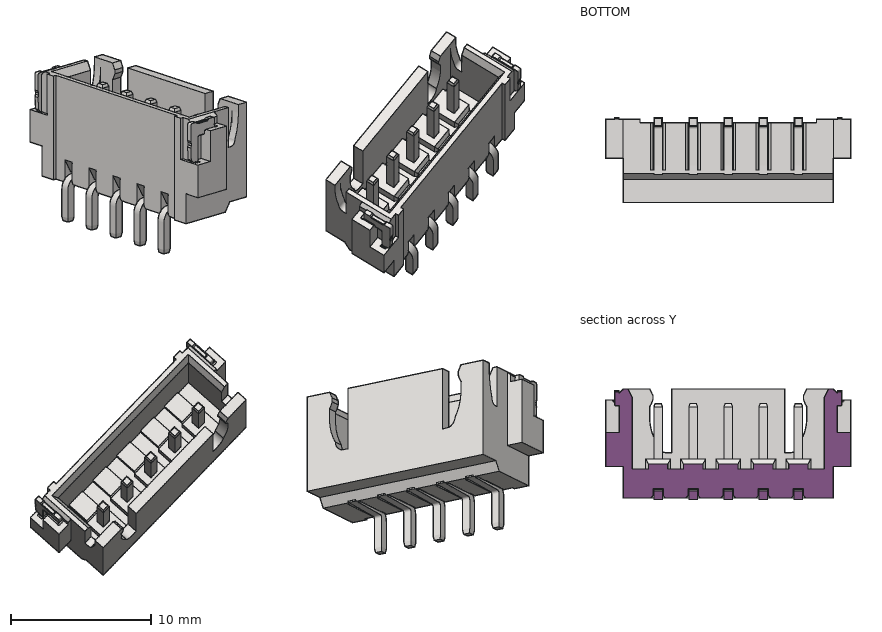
import cadquery as cq
import math


body_height = 7.8
body_depth = 5.95
body_half = 7.5
panel_y = 0.25
strip_inner_x = 6.3
heel_rise = 0.68
heel_top_y = 4.3
heel_bottom_y = 3.87

cavity_half = 6.85
cavity_front_y = 0.95
cavity_back_y = 5.15
floor_z = 2.1
lead_in = 0.32
lead_in_depth = 0.63

wing_half = 8.75
wing_depth = 2.8
wing_bottom_z = 2.25
wing_top_z = 7.02
notch_z = 4.7
notch_depth = 1.22
corner_inner_x = 6.95
guide_half = 7.79
guide_chamfer = 0.28

tab_thickness = 0.33
tab_outer_x = guide_half + tab_thickness
tab_front_y = -0.1
tab_back_y = 2.2
tab_top_z = body_height - 0.12
tab_arch_z = body_height - 1.2
tab_leg_y = 0.66
tab_leg_corner = 0.23
tab_front_radius = 0.15
tab_back_radius = 0.1
tab_arch_radius = 0.1
dip_z = tab_top_z - 0.09
dip_back_y = 1.58
dip_front_y = 0.5
dip_run = 0.1
barb_step = 0.05
barb_notch_z = 6.1
barb_notch_half = 0.09
barb_ramp = 0.15
tab_edge_chamfer = 0.05
slot_lead_in = 0.15

pin_count = 5
pitch = 2.5
pin_size = 0.63
pin_y = 3.62
tail_front = tab_front_y
pin_top_z = body_height - 1.05
tail_bottom_z = -2.8
tail_tip_height = 0.32
pin_tip_height = 0.23
tip_inset = 0.09
tail_tip_inset = 0.061
foot_drop = 0.1
inner_bend_radius = 0.21
outer_bend_radius = 0.95

channel_width = 0.72
channel_height = 0.66
channel_flare = 0.18
mouth_height = 1.68
mouth_depth = 0.56

support_width = 1.78
support_front_y = 2.87
support_height = 0.7
rib_height = 0.35
support_chamfer = 0.2

side_slot_front_y = 4.16
side_slot_depth = 3.0
side_slot_flat_y = 4.34
side_slot_round = 0.12
side_slot_bend_y = 4.8
side_slot_bend_rise = 0.42
side_slot_straight = 0.63
latch_inner_x = 4.05
latch_outer_x = 5.6
latch_bottom_x = 4.4
latch_slot_depth = 4.55
latch_bulge = 0.23
hook_start_depth = 0.47
hook_flat_depth = 0.77
hook_mid_depth = 0.98
hook_end_depth = 1.26
latch_neck_depth = 2.22
latch_bend_x = 5.11
latch_bend_rise = 0.7
latch_upper_mid_x = 5.46
latch_upper_mid_rise = 1.5
latch_lower_mid_x = 4.9
latch_lower_mid_rise = 0.21

pin_positions = [(i - (pin_count - 1) / 2) * pitch for i in range(pin_count)]


def box(x0, x1, y0, y1, z0, z1):
    return cq.Workplane("XY").box(x1 - x0, y1 - y0, z1 - z0, centered=False).translate((x0, y0, z0))


def side_profile(x_start):
    """Sketch plane whose axes are Y and Z, extruding towards +X."""
    return cq.Workplane("YZ", origin=(x_start, 0, 0))


def frustum(x, y, z, size, height, inset):
    """Square pin end that narrows by inset on every side; a negative height points down."""
    end_size = size - 2 * inset
    return (
        cq.Workplane("XY", origin=(x, y, z)).rect(size, size)
        .workplane(offset=height).rect(end_size, end_size).loft(ruled=True)
    )


def both_sides(solid):
    return solid.union(solid.mirror("YZ"))


def make_shell():
    outline = [
        (panel_y, 0), (heel_bottom_y, 0), (heel_top_y, heel_rise), (body_depth, heel_rise),
        (body_depth, body_height), (panel_y, body_height),
    ]
    shell = side_profile(-body_half).polyline(outline).close().extrude(2 * body_half)
    return shell.union(both_sides(make_wing()))


def make_wing():
    """Corner strip, wing and tab guide of the +X side."""
    wing = box(strip_inner_x, body_half, 0, panel_y, 0, body_height)
    wing = wing.union(box(cavity_half, wing_half, 0, wing_depth, wing_bottom_z, wing_top_z))
    wing = wing.cut(box(guide_half, wing_half, 0, notch_depth, notch_z, wing_top_z))
    guide_outline = [
        (cavity_half, notch_z), (guide_half, notch_z), (guide_half, body_height - guide_chamfer),
        (guide_half - guide_chamfer, body_height), (cavity_half, body_height),
    ]
    guide = (
        cq.Workplane("XZ", origin=(0, panel_y, 0)).polyline(guide_outline).close()
        .extrude(panel_y - wing_depth)
    )
    wing = wing.union(guide)
    return wing.cut(box(corner_inner_x, wing_half, 0, panel_y, notch_z, body_height))


def make_cavity():
    cavity = box(-cavity_half, cavity_half, cavity_front_y, cavity_back_y, floor_z, body_height)

    def opening(half_width, front_y, z):
        depth = cavity_back_y - front_y
        centre_y = (cavity_back_y + front_y) / 2
        return cq.Workplane("XY", origin=(0, centre_y, z)).rect(2 * half_width, depth).wires().val()

    top = opening(cavity_half + lead_in, cavity_front_y - lead_in, body_height)
    bottom = opening(cavity_half, cavity_front_y, body_height - lead_in_depth)
    return cavity.union(cq.Workplane(cq.Solid.makeLoft([bottom, top], True)))


def make_side_slot():
    """Slot across both end walls, straight in front and curved behind."""
    bottom_z = body_height - side_slot_depth
    return (
        side_profile(-body_half)
        .moveTo(cavity_back_y, body_height)
        .lineTo(cavity_back_y, body_height - side_slot_straight)
        .tangentArcPoint((side_slot_bend_y, bottom_z + side_slot_bend_rise), relative=False)
        .threePointArc(
            (side_slot_bend_y - side_slot_round, bottom_z + side_slot_round),
            (side_slot_flat_y, bottom_z))
        .lineTo(side_slot_front_y, bottom_z)
        .lineTo(side_slot_front_y, body_height)
        .close().extrude(2 * body_half)
    )


def make_latch_slot():
    """Slot in the back wall on the +X side, beside the hooked corner post."""
    bottom_z = body_height - latch_slot_depth
    hook_x = latch_outer_x - latch_bulge
    return (
        cq.Workplane("XZ", origin=(0, body_depth, 0))
        .moveTo(latch_inner_x, body_height)
        .lineTo(latch_inner_x, bottom_z)
        .lineTo(latch_bottom_x, bottom_z)
        .threePointArc(
            (latch_lower_mid_x, bottom_z + latch_lower_mid_rise), (latch_bend_x, bottom_z + latch_bend_rise))
        .threePointArc(
            (latch_upper_mid_x, bottom_z + latch_upper_mid_rise),
            (latch_outer_x, body_height - latch_neck_depth))
        .lineTo(latch_outer_x, body_height - hook_end_depth)
        .threePointArc(
            (hook_x + latch_bulge / 3, body_height - hook_mid_depth), (hook_x, body_height - hook_flat_depth))
        .lineTo(hook_x, body_height - hook_start_depth)
        .lineTo(latch_outer_x, body_height)
        .close().extrude(body_depth - cavity_back_y)
    )


def make_support(x):
    """Raised pin support with a narrower rib running to the front wall."""
    half = support_width / 2
    rib_half = half - support_chamfer
    nose_y = support_front_y - support_chamfer
    plan = [
        (x - half, cavity_back_y), (x - half, support_front_y), (x - rib_half, nose_y),
        (x - rib_half, cavity_front_y), (x + rib_half, cavity_front_y), (x + rib_half, nose_y),
        (x + half, support_front_y), (x + half, cavity_back_y),
    ]
    side = [
        (cavity_front_y, 0), (cavity_front_y, rib_height), (nose_y, rib_height),
        (support_front_y, support_height), (cavity_back_y, support_height), (cavity_back_y, 0),
    ]
    block = cq.Workplane("XY").polyline(plan).close().extrude(support_height)
    block = block.intersect(side_profile(x - half).polyline(side).close().extrude(support_width))
    return block.translate((0, 0, floor_z))


def make_channel(x):
    """Underside channel for a pin foot, with a sloping mouth and flared lower edges."""
    half = channel_width / 2
    side = [
        (panel_y, 0), (panel_y, mouth_height), (panel_y + mouth_depth, channel_height),
        (pin_y, channel_height), (pin_y, 0),
    ]
    channel = side_profile(x - half).polyline(side).close().extrude(channel_width)
    flare = [
        (x - half - channel_flare, 0), (x - half, channel_flare),
        (x + half, channel_flare), (x + half + channel_flare, 0),
    ]
    return channel.union(
        cq.Workplane("XZ", origin=(0, panel_y, 0)).polyline(flare).close().extrude(panel_y - pin_y)
    )


def make_pin(x):
    half = pin_size / 2
    tail_back = tail_front + pin_size
    tail_tip_z = tail_bottom_z + tail_tip_height
    foot_top_z = pin_size - foot_drop
    outer_y = tail_front + outer_bend_radius
    outer_z = foot_top_z - outer_bend_radius
    outer_diagonal = outer_bend_radius * math.sqrt(0.5)
    inner_y = tail_back + inner_bend_radius
    inner_z = -foot_drop - inner_bend_radius
    inner_diagonal = inner_bend_radius * math.sqrt(0.5)
    shaft_top_z = pin_top_z - pin_tip_height
    pin = (
        side_profile(x - half)
        .moveTo(tail_front, tail_tip_z)
        .lineTo(tail_front, outer_z)
        .threePointArc((outer_y - outer_diagonal, outer_z + outer_diagonal), (outer_y, foot_top_z))
        .lineTo(pin_y - half, pin_size)
        .lineTo(pin_y - half, shaft_top_z)
        .lineTo(pin_y + half, shaft_top_z)
        .lineTo(pin_y + half, 0)
        .lineTo(pin_y - half, 0)
        .lineTo(inner_y, -foot_drop)
        .threePointArc((inner_y - inner_diagonal, inner_z + inner_diagonal), (tail_back, inner_z))
        .lineTo(tail_back, tail_tip_z)
        .close().extrude(pin_size)
    )
    pin = pin.union(frustum(x, pin_y, shaft_top_z, pin_size, pin_tip_height, tip_inset))
    tail_y = tail_front + half
    return pin.union(frustum(x, tail_y, tail_tip_z, pin_size, -tail_tip_height, tail_tip_inset))


def make_tab():
    """Arch-shaped metal tab of the +X side, with a coined dip on top and a barbed front edge."""
    barb_y = tab_front_y + barb_step
    leg_corner_z = notch_z + tab_leg_corner
    outline = [
        (tab_back_y, notch_z), (tab_back_y, tab_top_z), (dip_back_y + dip_run, tab_top_z),
        (dip_back_y, dip_z), (dip_front_y, dip_z), (dip_front_y - dip_run, tab_top_z),
        (tab_front_y, tab_top_z),
        (tab_front_y, barb_notch_z + barb_notch_half + barb_ramp),
        (barb_y, barb_notch_z + barb_notch_half),
        (barb_y, barb_notch_z - barb_notch_half),
        (tab_front_y, barb_notch_z - barb_notch_half - barb_ramp),
        (barb_y, leg_corner_z), (barb_y + tab_leg_corner, notch_z),
        (tab_leg_y, notch_z), (tab_leg_y, tab_arch_z), (notch_depth, tab_arch_z), (notch_depth, notch_z),
    ]
    tab = side_profile(guide_half).polyline(outline).close().extrude(tab_thickness)

    def edges_near(y0, y1, z0, z1, x0=guide_half):
        gap = 0.02
        low_corner = (x0 - gap, y0 - gap, z0 - gap)
        high_corner = (tab_outer_x + gap, y1 + gap, z1 + gap)
        return cq.selectors.BoxSelector(low_corner, high_corner)

    rounded_corners = [
        (tab_front_y, tab_top_z, tab_front_radius),
        (tab_back_y, tab_top_z, tab_back_radius),
        (tab_leg_y, tab_arch_z, tab_arch_radius),
    ]
    for y, z, radius in rounded_corners:
        tab = tab.edges("|X").edges(edges_near(y, y, z, z)).fillet(radius)
    dip_edges = edges_near(dip_front_y, dip_back_y, dip_z, dip_z)
    tab = tab.edges("|Y").edges(dip_edges).chamfer(tab_edge_chamfer)
    leg_edge = edges_near(tab_leg_y, tab_leg_y, notch_z, tab_arch_z, tab_outer_x)
    return tab.edges("|Z").edges(leg_edge).chamfer(tab_edge_chamfer)


def make_slot_lead_in():
    """Sloped entries around the tab: behind its back leg and beside both legs."""
    wide_x = tab_outer_x + slot_lead_in

    def entry(y0, y1, top_z):
        flare = [(guide_half, top_z - slot_lead_in), (tab_outer_x, top_z - slot_lead_in),
                 (wide_x, top_z), (guide_half, top_z)]
        return cq.Workplane("XZ", origin=(0, y0, 0)).polyline(flare).close().extrude(y0 - y1)

    back_slope = [
        (tab_back_y, wing_top_z - slot_lead_in), (tab_back_y + slot_lead_in, wing_top_z),
        (tab_back_y, wing_top_z),
    ]
    back = side_profile(guide_half).polyline(back_slope).close().extrude(wide_x - guide_half)
    return entry(notch_depth, tab_back_y, wing_top_z).union(back).union(entry(panel_y, tab_leg_y, notch_z))


result = make_shell().cut(make_cavity()).cut(make_side_slot())
result = result.cut(both_sides(make_latch_slot()))
result = result.cut(both_sides(make_slot_lead_in()))
for x in pin_positions:
    result = result.union(make_support(x)).cut(make_channel(x)).union(make_pin(x))
result = result.union(both_sides(make_tab()))